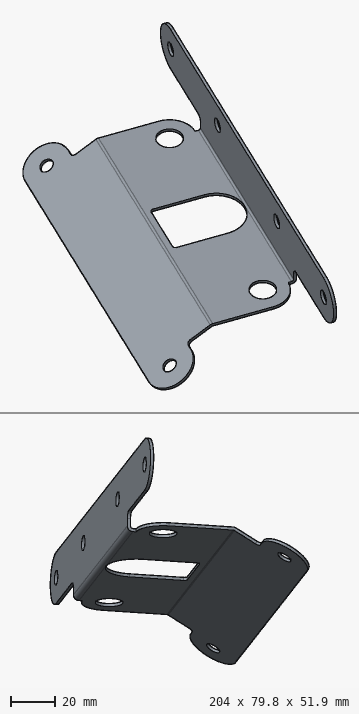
import cadquery as cq
import math

thickness = 1.5
inner_radius = 1.0
outer_radius = inner_radius + thickness
flange_angle = 30.0
depth = 79.8
back_height = 33.0

strip_radius = 12.0
bolt_diameter = 6.7
back_bolt_x = 90.0
back_inner_bolt_x = 34.9
flange_bolt_x = 72.5
back_fillet = 2.9
flange_fillet = 2.0

neck_half_width = 54.9
corner_radius = 12.5
middle_half_width = neck_half_width + corner_radius
large_hole_diameter = 12.5
hole_y = -16.5
middle_front_y = -46.1
window_half_width = 13.9
window_front_y = -43.0
window_fillet = 1.5

slope = math.radians(flange_angle)
middle_back_y = -outer_radius
fold_rise = outer_radius * (1 - math.cos(slope))
fold_run = outer_radius * math.sin(slope)
flange_start_y = middle_front_y - fold_run
flange_start_z = thickness - fold_rise
flange_length = (depth + flange_start_y) / math.cos(slope)


def slab(plane, x_half, low, high):
    """Rectangular sheet, centred on local x, between two local y values."""
    return (
        cq.Workplane(plane)
        .center(0, (low + high) / 2)
        .rect(2 * x_half, high - low)
        .extrude(thickness)
    )


def rounded_strip(plane, end_x, center_y):
    """Sheet with full-round ends centred at +/- end_x."""
    return (
        cq.Workplane(plane)
        .center(0, center_y)
        .slot2D(2 * (end_x + strip_radius), 2 * strip_radius)
        .extrude(thickness)
    )


def hole_cutter(plane, x_positions, center_y, diameter):
    """Round cutters through the sheet, along one row."""
    points = [(x, center_y) for x in x_positions]
    return cq.Workplane(plane).pushPoints(points).circle(diameter / 2).extrude(thickness)


def tabbed_plate(plane, strip_x, strip_y, tab_half_width, tab_end, fillet, bolt_x):
    """Round-ended strip joined by a narrower tab to a bend, with bolt holes."""
    strip = rounded_strip(plane, strip_x, strip_y)
    tab = slab(plane, tab_half_width, min(strip_y, tab_end), max(strip_y, tab_end))
    plate = strip.union(tab)
    toward_tab = 1 if tab_end > strip_y else -1
    for side in (-1, 1):
        corner = plane.toWorldCoords(
            (side * tab_half_width, strip_y + toward_tab * strip_radius, thickness / 2)
        )
        plate = (
            plate.edges(cq.selectors.ParallelDirSelector(plane.zDir))
            .edges(cq.selectors.NearestToPointSelector(corner.toTuple()))
            .fillet(fillet)
        )
    return plate.cut(hole_cutter(plane, bolt_x, strip_y, bolt_diameter))


def bend(half_width, center_y, center_z, start_angle, sweep):
    """Curved sheet about an X axis; angles are measured from +Y toward +Z."""
    start = math.radians(start_angle)
    middle = math.radians(start_angle + sweep / 2)
    end = math.radians(start_angle + sweep)

    def at(radius, angle):
        return center_y + radius * math.cos(angle), center_z + radius * math.sin(angle)

    return (
        cq.Workplane("YZ")
        .moveTo(*at(inner_radius, start))
        .lineTo(*at(outer_radius, start))
        .threePointArc(at(outer_radius, middle), at(outer_radius, end))
        .lineTo(*at(inner_radius, end))
        .threePointArc(at(inner_radius, middle), at(inner_radius, start))
        .close()
        .extrude(half_width, both=True)
    )


back_plane = cq.Plane(origin=(0, -thickness, 0), xDir=(-1, 0, 0), normal=(0, 1, 0))
back_bolts = [-back_bolt_x, -back_inner_bolt_x, back_inner_bolt_x, back_bolt_x]
back_plate = tabbed_plate(
    back_plane, back_bolt_x, back_height - strip_radius,
    neck_half_width, outer_radius, back_fillet, back_bolts,
)

floor_plane = cq.Plane.XY()
middle_plate = (
    slab(floor_plane, middle_half_width, middle_front_y, hole_y)
    .union(slab(floor_plane, neck_half_width, hole_y, middle_back_y))
    .union(hole_cutter(floor_plane, [-neck_half_width, neck_half_width], hole_y, 2 * corner_radius))
    .cut(hole_cutter(floor_plane, [-neck_half_width, neck_half_width], hole_y, large_hole_diameter))
)
window = (
    slab(floor_plane, window_half_width, window_front_y, hole_y)
    .edges("|Z and <Y")
    .fillet(window_fillet)
    .union(hole_cutter(floor_plane, [0], hole_y, 2 * window_half_width))
)
middle_plate = middle_plate.cut(window)

flange_plane = cq.Plane(
    origin=(
        0,
        flange_start_y + thickness * math.sin(slope),
        flange_start_z - thickness * math.cos(slope),
    ),
    xDir=(1, 0, 0),
    normal=(0, -math.sin(slope), math.cos(slope)),
)
flange = tabbed_plate(
    flange_plane, flange_bolt_x, strip_radius - flange_length,
    middle_half_width, 0, flange_fillet, [-flange_bolt_x, flange_bolt_x],
)

back_bend = bend(neck_half_width, middle_back_y, outer_radius, -90, 90)
flange_bend = bend(middle_half_width, middle_front_y, -inner_radius, 90, flange_angle)

result = back_plate.union(back_bend).union(middle_plate).union(flange_bend).union(flange)